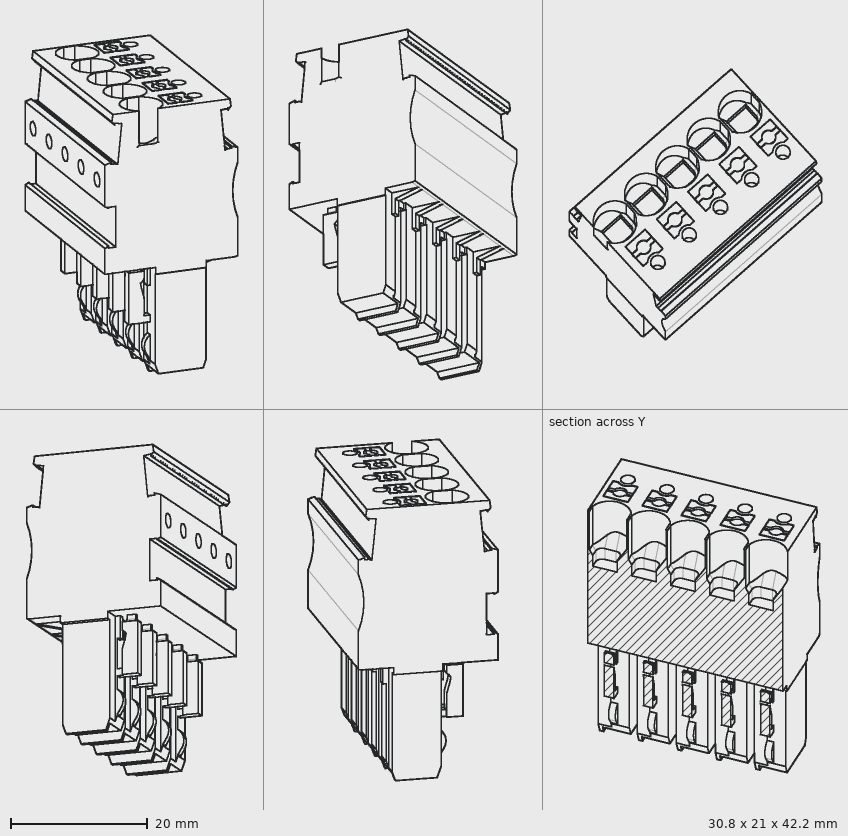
import cadquery as cq
import math


POLES = 5
PITCH = 6.15
WIDTH = POLES * PITCH
DEPTH = 21.0
HEIGHT = 42.17
MID_Y = DEPTH / 2
BODY_BOTTOM = 17.63

FLANGE_TOP_Y = 1.25
FLANGE_EDGE = (1.08, 41.05)
FLANGE_LIP = (1.57, 40.48)
FLANGE_UNDER_Z = 40.75
NECK_TOP = (2.65, 40.6)
NECK_BOTTOM = (2.02, 34.35)
LEDGE_Z = 34.5
LEDGE_LIP = (0.96, 34.8)
LEDGE_GROOVE_Y = 1.6

SLOT_DEPTH = 1.7
SLOT_TOP_Z = 27.91
SLOT_BOTTOM_Z = 21.62
SLOT_LIP_Y = 0.58
SLOT_LIP_RISE = 0.3
SLOT_LIP_BASE = 0.14

GRIP_TOP_Z = 32.25
GRIP_BOTTOM_Z = 23.66
GRIP_DEPTH = 0.81
HEEL_Y = 20.5
HEEL_RISE = 0.13

TEST_HOLE_R = 1.06
TEST_HOLE_Z = 31.28
TEST_HOLE_DEPTH = 4.0

FUNNEL_X, FUNNEL_Y = 3.34, 6.85
FUNNEL_R = 3.16
FUNNEL_LEFT = 0.31
FUNNEL_DEPTH = 8.0
THROAT_LEFT, THROAT_RIGHT = 0.83, 4.62
THROAT_FRONT, THROAT_BACK = 5.33, 8.6
THROAT_CORNER_R = 1.0
THROAT_DEPTH = 2.0
FUNNEL_SIDE_ANGLE = 30.0
FUNNEL_FRONT_ANGLE = 41.0

PROBE_X, PROBE_Y, PROBE_R = 2.71, 15.54, 1.04
PROBE_DEPTH = 7.0
PROBE_FLOOR_R = 3.0
PROBE_FLAT_Y = 15.75

BUTTON_LEFT, BUTTON_RIGHT = 0.8, 4.67
BUTTON_FRONT, BUTTON_BACK = 10.62, 14.5
BUTTON_RECESS = 0.1
BUTTON_RELIEF_R = 1.5
DRIVER_X, DRIVER_Y = 2.71, 12.43
DRIVER_R = 1.02
DRIVER_SLOT_WIDTH = 0.78
DRIVER_DEPTH = 0.5

SHOULDER_BOTTOM = 16.56
FINGER_LEFT, FINGER_RIGHT = 0.92, 5.98
FINGER_SPLIT = 3.07
THIN_FRONT, THIN_BACK = 8.3, 15.7
THICK_FRONT, THICK_BACK = 7.98, 16.03
TIP_FRONT, TIP_BACK = 8.92, 15.2
TAPER_FRONT_Z, TAPER_BACK_Z = 2.62, 2.3
TOE_RIGHT = 1.53
FINGER_BOTTOM = 1.07

RIB_RIGHT = 4.14
RIB_FRONT = 7.5
RIB_BOTTOM = 14.26
RIB_BACK = 16.6
RIB_BACK_TOP = 16.6

BUMP_TOP_Z, BUMP_BOTTOM_Z = 6.59, 2.76
BUMP_PEAK = (7.06, 5.0)
BUMP_ARC_END = (7.33, 3.83)

BAR_LEFT, BAR_RIGHT = 2.61, RIB_RIGHT
BAR_FRONT, BAR_BACK = 4.6, 7.05
BAR_BOTTOM = 8.59
BAR_NOTCH_TOP_Z, BAR_NOTCH_BOTTOM_Z = 15.3, 12.3
BAR_NOTCH_UPPER = (6.44, 14.7)
BAR_NOTCH_LOWER = (6.55, 14.1)
BRIDGE_TOP = 9.66
STEM_LEFT, STEM_RIGHT = FINGER_SPLIT, 3.68
STEM_FRONT, STEM_BACK = 5.08, 6.45
STEM_FILLET = 0.44

OVERLAP = 0.5


def box(x_range, y_range, z_range):
    """Axis-aligned block from (low, high) pairs."""
    (x0, x1), (y0, y1), (z0, z1) = x_range, y_range, z_range
    return cq.Workplane("XY").box(x1 - x0, y1 - y0, z1 - z0, centered=False).translate((x0, y0, z0))


def along_x(profile, x0, x1):
    """Extrude a closed YZ profile from x0 to x1."""
    return profile.extrude(x1 - x0).translate((x0, 0, 0))


def to_back(point):
    """Mirror a front (Y, Z) point to the back of the housing."""
    return (DEPTH - point[0], point[1])


def repeat(shape):
    """One copy of a shape in every pole, as a single compound."""
    copies = [shape.val().translate(cq.Vector(i * PITCH, 0, 0)) for i in range(POLES)]
    return cq.Workplane(cq.Compound.makeCompound(copies))


def housing():
    upper = [
        (FLANGE_TOP_Y, HEIGHT),
        FLANGE_EDGE,
        FLANGE_LIP,
        (FLANGE_LIP[0], FLANGE_UNDER_Z),
        NECK_TOP,
        NECK_BOTTOM,
        (LEDGE_GROOVE_Y, LEDGE_Z),
        (LEDGE_LIP[0], LEDGE_Z),
        LEDGE_LIP,
        (0, LEDGE_Z),
    ]
    slot = [
        (0, SLOT_TOP_Z + SLOT_LIP_BASE),
        (SLOT_LIP_Y, SLOT_TOP_Z + SLOT_LIP_BASE - SLOT_LIP_RISE),
        (SLOT_LIP_Y, SLOT_TOP_Z),
        (SLOT_DEPTH, SLOT_TOP_Z),
        (SLOT_DEPTH, SLOT_BOTTOM_Z),
        (SLOT_LIP_Y, SLOT_BOTTOM_Z),
        (SLOT_LIP_Y, SLOT_BOTTOM_Z + SLOT_LIP_RISE),
        (0, SLOT_BOTTOM_Z),
    ]
    grip_middle = (DEPTH - GRIP_DEPTH, (GRIP_TOP_Z + GRIP_BOTTOM_Z) / 2)
    profile = (
        cq.Workplane("YZ")
        .polyline(upper + slot + [(0, BODY_BOTTOM), (HEEL_Y, BODY_BOTTOM)])
        .lineTo(DEPTH, BODY_BOTTOM + HEEL_RISE)
        .lineTo(DEPTH, GRIP_BOTTOM_Z)
        .threePointArc(grip_middle, (DEPTH, GRIP_TOP_Z))
    )
    for point in reversed(upper):
        profile = profile.lineTo(*to_back(point))
    return along_x(profile.close(), 0, WIDTH)


def test_hole():
    """Blind hole in the front face, centred in its pole."""
    return cq.Workplane("XZ").center(PITCH / 2, TEST_HOLE_Z).circle(TEST_HOLE_R).extrude(-TEST_HOLE_DEPTH)


def throat_prism(front, base, height, taper=0):
    """D-shaped prism, rounded at the back, from the given front Y to the back of the throat."""
    width = THROAT_RIGHT - THROAT_LEFT
    length = THROAT_BACK - front
    r = THROAT_CORNER_R
    arc_mid = r * (1 - math.sqrt(0.5))
    outline = (
        cq.Workplane("XY", origin=(THROAT_LEFT, front, base))
        .lineTo(width, 0)
        .lineTo(width, length - r)
        .threePointArc((width - arc_mid, length - arc_mid), (width - r, length))
        .lineTo(r, length)
        .threePointArc((arc_mid, length - arc_mid), (0, length - r))
        .close()
    )
    return outline.extrude(height, taper=-taper)


def wire_funnel():
    """Round wire entry, trimmed flat at both sides, that narrows to a D-shaped throat."""
    floor = HEIGHT - FUNNEL_DEPTH
    mouth = cq.Workplane("XY").workplane(offset=floor).center(FUNNEL_X, FUNNEL_Y).circle(FUNNEL_R)
    mouth = mouth.extrude(FUNNEL_DEPTH)
    sides = box((FUNNEL_LEFT, PITCH), (0, DEPTH), (floor, HEIGHT))

    front_run = FUNNEL_DEPTH * math.tan(math.radians(FUNNEL_FRONT_ANGLE))
    ahead_of_slope = along_x(
        cq.Workplane("YZ").polyline([
            (THROAT_FRONT, floor),
            (THROAT_FRONT - front_run, HEIGHT),
            (THROAT_FRONT - front_run, floor),
        ]).close(),
        0, PITCH,
    )
    slopes = throat_prism(THROAT_FRONT - front_run, floor, FUNNEL_DEPTH, FUNNEL_SIDE_ANGLE)
    well = throat_prism(THROAT_FRONT, floor - THROAT_DEPTH, THROAT_DEPTH)
    return mouth.intersect(sides).intersect(slopes).cut(ahead_of_slope).union(well)


def probe_hole():
    """Round hole in the top whose floor is level at the back and curves up towards the front."""
    bottom = HEIGHT - PROBE_DEPTH
    roll_z = bottom + PROBE_FLOOR_R
    hole = cq.Workplane("XY").workplane(offset=bottom).center(PROBE_X, PROBE_Y).circle(PROBE_R)
    hole = hole.extrude(PROBE_DEPTH)
    roll = along_x(cq.Workplane("YZ").center(PROBE_FLAT_Y, roll_z).circle(PROBE_FLOOR_R), 0, PITCH)
    above = box((0, PITCH), (0, DEPTH), (roll_z, HEIGHT))
    behind = box((0, PITCH), (PROBE_FLAT_Y, DEPTH), (bottom, HEIGHT))
    return hole.intersect(roll.union(above).union(behind))


def release_button():
    """Slightly recessed square button with a screwdriver slot and round centre."""
    sides = ((BUTTON_LEFT, BUTTON_RIGHT), (BUTTON_FRONT, BUTTON_BACK))
    plate = box(*sides, (HEIGHT - BUTTON_RECESS, HEIGHT))
    relief = cq.Workplane("XY").workplane(offset=HEIGHT - BUTTON_RECESS).center(PROBE_X, PROBE_Y)
    plate = plate.cut(relief.circle(BUTTON_RELIEF_R).extrude(BUTTON_RECESS))

    slot_floor = HEIGHT - DRIVER_DEPTH
    half_slot = DRIVER_SLOT_WIDTH / 2
    slot = box(
        (BUTTON_LEFT, BUTTON_RIGHT), (DRIVER_Y - half_slot, DRIVER_Y + half_slot), (slot_floor, HEIGHT)
    )
    centre = cq.Workplane("XY").workplane(offset=slot_floor).center(DRIVER_X, DRIVER_Y)
    return plate.union(slot).union(centre.circle(DRIVER_R).extrude(DRIVER_DEPTH))


def finger():
    """Plug finger: shoulder, thin and thick halves, front and back ribs and contact bump."""
    top = BODY_BOTTOM + OVERLAP
    shoulder_z = (SHOULDER_BOTTOM, top)
    blade = along_x(
        cq.Workplane("YZ").polyline([
            (THICK_FRONT, top),
            (THICK_FRONT, TAPER_FRONT_Z),
            (TIP_FRONT, 0),
            (TIP_BACK, 0),
            (THICK_BACK, TAPER_BACK_Z),
            (THICK_BACK, top),
        ]).close(),
        FINGER_LEFT, FINGER_RIGHT,
    )
    thin_span = (FINGER_LEFT, FINGER_SPLIT)
    blade = blade.cut(box(thin_span, (0, THIN_FRONT), (0, top)))
    blade = blade.cut(box(thin_span, (THIN_BACK, DEPTH), (0, top)))
    blade = blade.cut(box((TOE_RIGHT, FINGER_RIGHT), (0, DEPTH), (0, FINGER_BOTTOM)))

    thin_shoulder = box((0, FINGER_SPLIT), (THIN_FRONT, THIN_BACK), shoulder_z)
    thick_shoulder = box((FINGER_SPLIT, PITCH), (THICK_FRONT, THICK_BACK), shoulder_z)
    back_rib = along_x(
        cq.Workplane("YZ").polyline([
            (MID_Y, BODY_BOTTOM),
            (MID_Y, RIB_BOTTOM),
            (RIB_BACK, RIB_BOTTOM),
            (RIB_BACK, RIB_BACK_TOP),
            (HEEL_Y, BODY_BOTTOM),
        ]).close(),
        FINGER_SPLIT, RIB_RIGHT,
    )
    front_rib = box((FINGER_SPLIT, RIB_RIGHT), (RIB_FRONT, MID_Y), (RIB_BOTTOM, top))
    bump = along_x(
        cq.Workplane("YZ")
        .moveTo(THICK_FRONT + OVERLAP, BUMP_TOP_Z)
        .lineTo(THICK_FRONT, BUMP_TOP_Z)
        .threePointArc(BUMP_PEAK, BUMP_ARC_END)
        .lineTo(THICK_FRONT, BUMP_BOTTOM_Z)
        .lineTo(THICK_FRONT + OVERLAP, BUMP_BOTTOM_Z)
        .close(),
        FINGER_SPLIT, RIB_RIGHT,
    )
    return blade.union(thin_shoulder).union(thick_shoulder).union(back_rib).union(front_rib).union(bump)


def latch_bar():
    """Upright bar in front of the finger, with a flared stem above and a bridge behind."""
    bar = along_x(
        cq.Workplane("YZ")
        .moveTo(BAR_FRONT, BAR_BOTTOM)
        .lineTo(BAR_BACK, BAR_BOTTOM)
        .lineTo(BAR_BACK, BAR_NOTCH_BOTTOM_Z)
        .lineTo(*BAR_NOTCH_LOWER)
        .lineTo(*BAR_NOTCH_UPPER)
        .lineTo(BAR_BACK, BAR_NOTCH_TOP_Z)
        .lineTo(BAR_BACK, SHOULDER_BOTTOM)
        .lineTo(BAR_FRONT, SHOULDER_BOTTOM)
        .close(),
        BAR_LEFT, BAR_RIGHT,
    )
    stem = box((STEM_LEFT, STEM_RIGHT), (STEM_FRONT, STEM_BACK), (BAR_BOTTOM, BODY_BOTTOM + OVERLAP))
    root = cq.selectors.BoxSelector(
        (STEM_LEFT - STEM_FILLET / 2, STEM_FRONT - STEM_FILLET / 2, SHOULDER_BOTTOM - STEM_FILLET / 2),
        (STEM_RIGHT + STEM_FILLET / 2, STEM_BACK + STEM_FILLET / 2, SHOULDER_BOTTOM + STEM_FILLET / 2),
    )
    flared = bar.union(stem).edges(root).fillet(STEM_FILLET)
    bridge = box((FINGER_SPLIT, BAR_RIGHT), (BAR_BACK - OVERLAP, MID_Y), (BAR_BOTTOM, BRIDGE_TOP))
    return flared.union(bridge)


body = housing()
for opening in (test_hole(), wire_funnel(), probe_hole(), release_button()):
    body = body.cut(repeat(opening))

plug = finger().union(latch_bar())
result = body.union(repeat(plug))